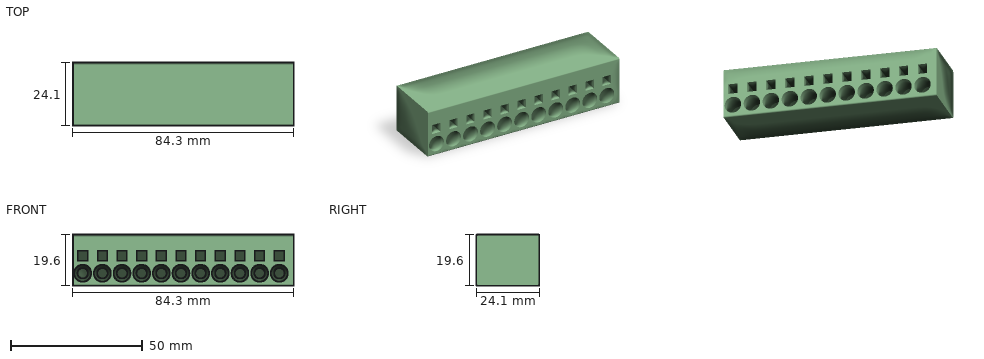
import cadquery as cq

length = 84.3
depth = 24.15
height = 19.6
edge_radius = 0.5

position_count = 11
pitch = 7.5
first_position_x = pitch / 2

entry_z = 4.8
entry_mouth_diameter = 6.5
entry_floor_diameter = 4.0
entry_bore_depth = 10.0
entry_cone_depth = 2.0

slot_z = 11.45
slot_width = 3.7
slot_height = 3.9
slot_depth = 10.0


def make_housing():
    """Plain block with its four lengthwise edges rounded."""
    block = cq.Workplane("XY").box(length, depth, height, centered=False)
    return block.edges("|X").fillet(edge_radius)


def make_wire_entry(x):
    """Solid of revolution about Y: straight bore, then a funnel to a flat floor."""
    mouth_radius = entry_mouth_diameter / 2
    floor_radius = entry_floor_diameter / 2
    floor_y = entry_bore_depth + entry_cone_depth
    half_section = (
        cq.Workplane("XY")
        .moveTo(0, 0)
        .lineTo(mouth_radius, 0)
        .lineTo(mouth_radius, entry_bore_depth)
        .lineTo(floor_radius, floor_y)
        .lineTo(0, floor_y)
        .close()
    )
    return half_section.revolve(360, (0, 0, 0), (0, 1, 0)).translate((x, 0, entry_z))


def make_release_slot(x):
    """Straight rectangular pocket running inward from the front face."""
    slot = cq.Workplane("XY").box(slot_width, slot_depth, slot_height, centered=(True, False, True))
    return slot.translate((x, 0, slot_z))


result = make_housing()
for position in range(position_count):
    position_x = first_position_x + position * pitch
    result = result.cut(make_wire_entry(position_x))
    result = result.cut(make_release_slot(position_x))